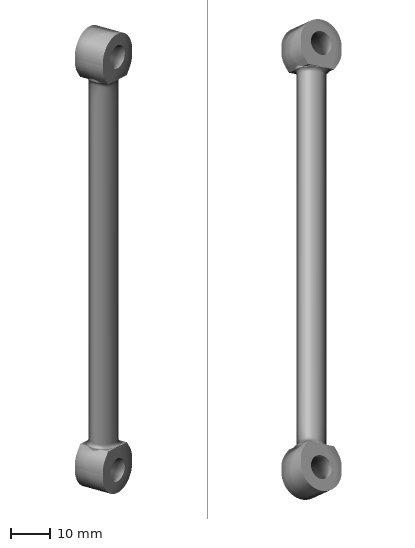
import cadquery as cq
import math

length = 127.0
eye_width = 8.9
eye_radius = 6.4
hole_diameter = 6.4
rod_radius = 3.8

side_flat = 1.1
shoulder_start = 11.3
shoulder_end = 12.7
flare_radius = 1.1

collar_radius = eye_width / 2

inner_arc_center = eye_radius + side_flat
shoulder_angle = math.asin((shoulder_start - inner_arc_center) / eye_radius)
shoulder_start_half = eye_radius * math.cos(shoulder_angle)


def eye():
    """Lower eye with its tip at Z = 0 and a flat inner end."""
    mid_angle = shoulder_angle / 2
    mid_y = eye_radius * math.cos(mid_angle)
    mid_z = inner_arc_center + eye_radius * math.sin(mid_angle)
    end_half = shoulder_start_half - (shoulder_end - shoulder_start) * math.tan(shoulder_angle)
    return (
        cq.Workplane("YZ")
        .moveTo(-eye_radius, eye_radius)
        .threePointArc((0, 0), (eye_radius, eye_radius))
        .lineTo(eye_radius, inner_arc_center)
        .threePointArc((mid_y, mid_z), (shoulder_start_half, shoulder_start))
        .lineTo(end_half, shoulder_end)
        .lineTo(-end_half, shoulder_end)
        .lineTo(-shoulder_start_half, shoulder_start)
        .threePointArc((-mid_y, mid_z), (-eye_radius, inner_arc_center))
        .close()
        .extrude(eye_width / 2, both=True)
    )


def collar():
    """Collar rising from the eye, with a concave round down to the rod."""
    flare_top = shoulder_end + flare_radius
    arc_center = rod_radius + flare_radius
    rim_angle = math.acos((arc_center - collar_radius) / flare_radius)
    rim_height = flare_top - flare_radius * math.sin(rim_angle)
    mid_radius = arc_center - flare_radius * math.cos(rim_angle / 2)
    mid_height = flare_top - flare_radius * math.sin(rim_angle / 2)
    return (
        cq.Workplane("XZ")
        .moveTo(0, shoulder_start)
        .lineTo(collar_radius, shoulder_start)
        .lineTo(collar_radius, rim_height)
        .threePointArc((mid_radius, mid_height), (rod_radius, flare_top))
        .lineTo(0, flare_top)
        .close()
        .revolve(360, (0, 0, 0), (0, 1, 0))
    )


def hole(height):
    """Cutter for a pin hole along X at the given height."""
    return (
        cq.Workplane("YZ")
        .center(0, height)
        .circle(hole_diameter / 2)
        .extrude(eye_width, both=True)
    )


rod_start = shoulder_start
rod = cq.Workplane("XY").workplane(offset=rod_start).circle(rod_radius).extrude(length - 2 * rod_start)

bottom = eye().union(collar())
top = bottom.mirror("XY", (0, 0, length / 2))
result = rod.union(bottom).union(top)
for hole_height in (eye_radius, length - eye_radius):
    result = result.cut(hole(hole_height))

result = result.translate((0, 0, -length / 2))